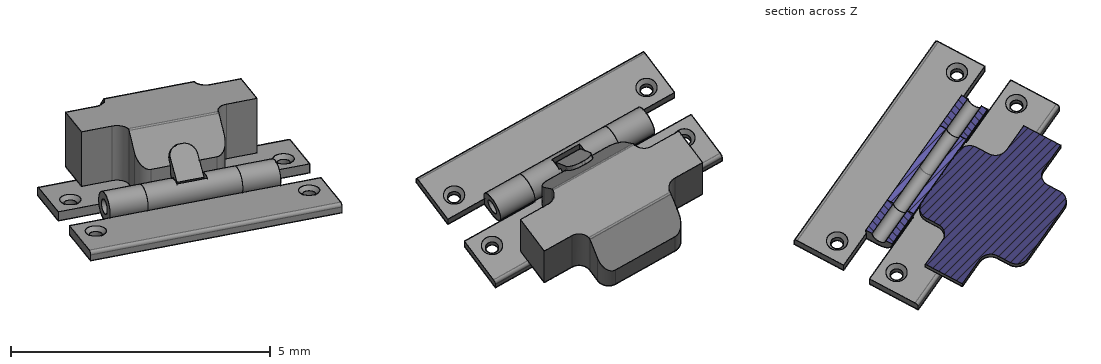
import cadquery as cq
import math

LEAF_LENGTH = 5.2
LEAF_THICKNESS = 0.2
LEAF_OUTER_X = 1.4
LEAF_EDGE_RADIUS = 0.07

KNUCKLE_RADIUS = 0.3
BORE_RADIUS = 0.15
AXIS_Z = KNUCKLE_RADIUS
BARREL_LENGTH = 3.53
MIDDLE_KNUCKLE_LENGTH = 1.96
OUTER_KNUCKLE_LENGTH = (BARREL_LENGTH - MIDDLE_KNUCKLE_LENGTH) / 2

LEFT_INNER_X = KNUCKLE_RADIUS
RIGHT_INNER_X = math.sqrt(KNUCKLE_RADIUS**2 - (AXIS_Z - LEAF_THICKNESS) ** 2)

SCREW_X = 0.67
SCREW_Y = 2.205
SCREW_DIAMETER = 0.25
SCREW_HEAD_DIAMETER = 0.41
SCREW_HEAD_ANGLE = 90

BLOCK_WIDTH = 2.39
BLOCK_RIGHT_X = -KNUCKLE_RADIUS
BLOCK_CENTER_X = BLOCK_RIGHT_X - BLOCK_WIDTH / 2
BLOCK_TOP_Z = 1.4
BLOCK_HEIGHT = BLOCK_TOP_Z - LEAF_THICKNESS
LOBE_LENGTH = 1.86
ARM_WIDTH = 0.84
ARM_SPAN = 3.63
INNER_CORNER_MARGIN = 0.1
CORNER_RADIUS = 0.25
SLOPE_RUN = 0.54
SLOPE_START_Z = 0.745
CREST_RADIUS = 0.05

FINGER_TILT = 45
FINGER_WIDTH = 0.56
FINGER_TOP = KNUCKLE_RADIUS * math.cos(math.radians(FINGER_TILT))
FINGER_THICKNESS = 0.24
FINGER_REACH = 0.89
FINGER_TIP_RADIUS = 0.25

SLOT_WIDTH = 0.26
SLOT_LENGTH = 0.63


def box(x_min, x_max, length_y, z_min, z_max, center_y=0):
    """Box given by its X and Z limits and its Y length about center_y."""
    return (
        cq.Workplane("XY")
        .box(x_max - x_min, length_y, z_max - z_min, centered=(False, True, False))
        .translate((x_min, center_y, z_min))
    )


def axis_cylinder(radius, length, center_y=0):
    """Cylinder on the hinge axis."""
    return (
        cq.Workplane("XZ", origin=(0, center_y, AXIS_Z))
        .circle(radius)
        .extrude(length / 2, both=True)
    )


def leaf(side, inner_x, own_knuckles):
    """Leaf on the side -1 (left) or +1 (right); own_knuckles lists (center_y, length)."""
    x_min, x_max = sorted((side * inner_x, side * LEAF_OUTER_X))
    outer_face = ">X" if side > 0 else "<X"
    body = (
        box(x_min, x_max, LEAF_LENGTH, 0, LEAF_THICKNESS)
        .faces(outer_face)
        .edges(">Z")
        .fillet(LEAF_EDGE_RADIUS)
        .faces(">Z")
        .workplane(origin=(0, 0, LEAF_THICKNESS))
        .pushPoints([(side * SCREW_X, -SCREW_Y), (side * SCREW_X, SCREW_Y)])
        .cskHole(SCREW_DIAMETER, SCREW_HEAD_DIAMETER, SCREW_HEAD_ANGLE)
    )
    web_min, web_max = sorted((0, side * inner_x))
    for center_y, length in own_knuckles:
        web = box(web_min, web_max, length, 0, LEAF_THICKNESS, center_y)
        body = body.union(axis_cylinder(KNUCKLE_RADIUS, length, center_y)).union(web)
    return body.cut(axis_cylinder(BORE_RADIUS, BARREL_LENGTH))


def finger():
    """Flat finger with a rounded tip, tilted about the hinge axis."""
    return (
        box(-FINGER_REACH, -BORE_RADIUS, FINGER_WIDTH, FINGER_TOP - FINGER_THICKNESS, FINGER_TOP)
        .edges("|Z and <X")
        .fillet(FINGER_TIP_RADIUS)
        .rotate((0, 0, 0), (0, 1, 0), FINGER_TILT)
        .translate((0, 0, AXIS_Z))
    )


def block():
    """Cross-shaped block: two lobes with sloped tops along X and two arms along Y."""
    half_width = BLOCK_WIDTH / 2
    sloped_profile = (
        cq.Workplane("XZ", origin=(BLOCK_CENTER_X, 0, 0))
        .moveTo(-half_width, LEAF_THICKNESS)
        .lineTo(half_width, LEAF_THICKNESS)
        .lineTo(half_width, SLOPE_START_Z)
        .lineTo(half_width - SLOPE_RUN, BLOCK_TOP_Z)
        .lineTo(SLOPE_RUN - half_width, BLOCK_TOP_Z)
        .lineTo(-half_width, SLOPE_START_Z)
        .close()
        .extrude(ARM_SPAN / 2, both=True)
        .edges("|Y and >Z")
        .fillet(CREST_RADIUS)
    )
    plan_base = cq.Workplane("XY", origin=(BLOCK_CENTER_X, 0, LEAF_THICKNESS))
    arms = plan_base.rect(ARM_WIDTH, ARM_SPAN).extrude(BLOCK_HEIGHT)
    plan = (
        plan_base.rect(BLOCK_WIDTH, LOBE_LENGTH)
        .extrude(BLOCK_HEIGHT)
        .edges("|Z")
        .fillet(CORNER_RADIUS)
        .union(arms)
    )
    reach_x = ARM_WIDTH / 2 + INNER_CORNER_MARGIN
    reach_y = LOBE_LENGTH / 2 + INNER_CORNER_MARGIN
    inner_corners = cq.selectors.BoxSelector(
        (BLOCK_CENTER_X - reach_x, -reach_y, LEAF_THICKNESS),
        (BLOCK_CENTER_X + reach_x, reach_y, BLOCK_TOP_Z),
    )
    plan = plan.edges("|Z").edges(inner_corners).fillet(CORNER_RADIUS)
    return plan.intersect(sloped_profile).union(finger())


outer_knuckle_y = (BARREL_LENGTH - OUTER_KNUCKLE_LENGTH) / 2
right_leaf = leaf(
    1,
    RIGHT_INNER_X,
    [(-outer_knuckle_y, OUTER_KNUCKLE_LENGTH), (outer_knuckle_y, OUTER_KNUCKLE_LENGTH)],
)

slot = box(-SLOT_WIDTH / 2, SLOT_WIDTH / 2, SLOT_LENGTH, AXIS_Z, AXIS_Z + KNUCKLE_RADIUS)
left_leaf = leaf(-1, LEFT_INNER_X, [(0, MIDDLE_KNUCKLE_LENGTH)]).cut(slot).cut(finger())

latch_block = block()

bodies = (left_leaf, right_leaf, latch_block)
result = cq.Compound.makeCompound([body.solids().val() for body in bodies])